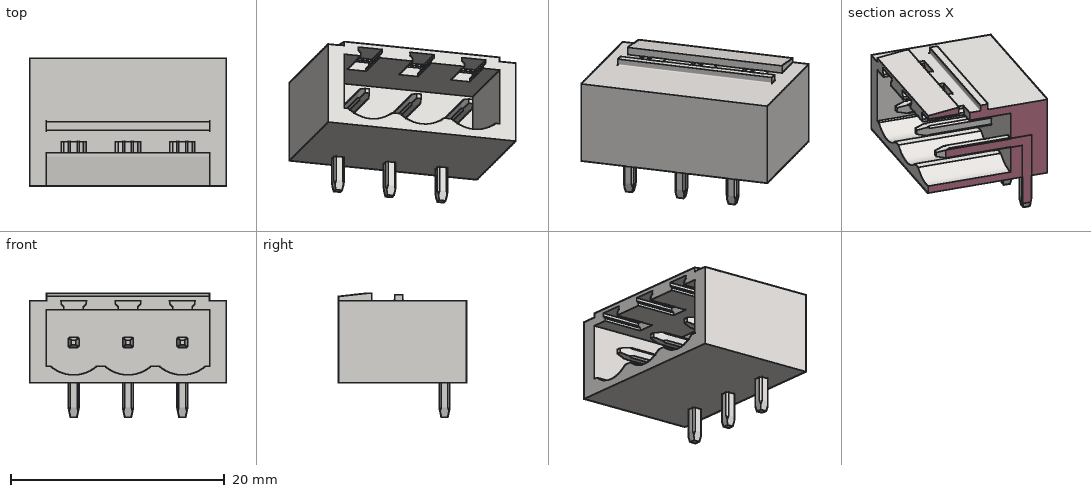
import cadquery as cq


housing_length = 18.44
housing_depth = 12.0
housing_height = 7.7

pin_count = 3
pin_pitch = 5.09
pin_positions = [(i - (pin_count - 1) / 2) * pin_pitch for i in range(pin_count)]

cavity_width = pin_count * pin_pitch
cavity_depth = 8.3
cavity_floor = 1.55
cavity_roof = housing_height - 0.85

scoop_width = 4.28
scoop_drop = 0.8

slot_top_width = 2.36
slot_neck_width = 1.83
slot_length = 4.17
slot_shoulder_drop = 0.3
slot_neck_drop = 0.59

ridge_length = 3.13
ridge_flat = 0.35
ridge_height = 0.72
ridge_front_height = 0.4

rib_front = 5.25
rib_width = 0.77
rib_height = 0.57
rib_root_radius = 0.1

pin_width = 1.01
pin_round_diameter = 1.2
pin_axis_height = 3.8
contact_tip_y = 0.92
contact_tip_width = 0.42
contact_taper = 1.3
leg_y = 9.94
leg_drop = 3.2
leg_tip_width = 0.63
leg_taper = 0.9


def front_profile():
    """XZ workplane whose extrusions run from the front face towards the back."""
    return cq.Workplane("XZ")


def make_cavity():
    cavity = (
        front_profile()
        .center(0, (cavity_floor + cavity_roof) / 2)
        .rect(cavity_width, cavity_roof - cavity_floor)
        .extrude(-cavity_depth)
    )
    for x in pin_positions:
        scoop = (
            front_profile()
            .moveTo(x - scoop_width / 2, cavity_floor)
            .threePointArc((x, cavity_floor - scoop_drop), (x + scoop_width / 2, cavity_floor))
            .close()
            .extrude(-cavity_depth)
        )
        cavity = cavity.union(scoop)
    return cavity


def make_slot(x):
    shoulder_z = housing_height - slot_shoulder_drop
    neck_z = housing_height - slot_neck_drop
    half_top = slot_top_width / 2
    half_neck = slot_neck_width / 2
    outline = [
        (x - half_top, housing_height),
        (x - half_top, shoulder_z),
        (x - half_neck, neck_z),
        (x - half_neck, cavity_roof),
        (x + half_neck, cavity_roof),
        (x + half_neck, neck_z),
        (x + half_top, shoulder_z),
        (x + half_top, housing_height),
    ]
    return front_profile().polyline(outline).close().extrude(-slot_length)


def make_ridge():
    outline = [
        (0, housing_height),
        (0, housing_height + ridge_front_height),
        (ridge_length - ridge_flat, housing_height + ridge_height),
        (ridge_length, housing_height + ridge_height),
        (ridge_length, housing_height),
    ]
    return cq.Workplane("YZ").polyline(outline).close().extrude(cavity_width / 2, both=True)


def make_rib():
    """Rib with a concave fillet along the root of its front and back faces."""
    front = rib_front
    back = rib_front + rib_width
    top = housing_height + rib_height
    fillet_top = housing_height + rib_root_radius
    return (
        cq.Workplane("YZ")
        .moveTo(front - rib_root_radius, housing_height)
        .radiusArc((front, fillet_top), -rib_root_radius)
        .lineTo(front, top)
        .lineTo(back, top)
        .lineTo(back, fillet_top)
        .radiusArc((back + rib_root_radius, housing_height), -rib_root_radius)
        .close()
        .extrude(cavity_width / 2, both=True)
    )


def rounded_bar(length):
    """Bar of pin section, a square trimmed by a circle, standing on the XY plane."""
    square_bar = cq.Workplane("XY").rect(pin_width, pin_width).extrude(length)
    return square_bar.intersect(cq.Workplane("XY").circle(pin_round_diameter / 2).extrude(length))


def make_point(tip_width, taper):
    """Tapered pin end with its tip at the origin, widening upwards to the pin section."""
    pyramid = (
        cq.Workplane("XY")
        .rect(tip_width, tip_width)
        .workplane(offset=taper)
        .rect(pin_width, pin_width)
        .loft()
    )
    return pyramid.intersect(rounded_bar(taper))


def make_pin(x):
    """Bent shank with a taper on each end: contact to the front, leg downwards."""
    shank_start = contact_tip_y + contact_taper
    shank_end = -leg_drop + leg_taper
    path = (
        cq.Workplane("YZ")
        .moveTo(shank_start, pin_axis_height)
        .lineTo(leg_y, pin_axis_height)
        .lineTo(leg_y, shank_end)
    )
    section = (
        rounded_bar(pin_width)
        .rotate((0, 0, 0), (1, 0, 0), -90)
        .translate((0, shank_start, pin_axis_height))
        .faces("<Y")
        .wires()
    )
    shank = section.toPending().sweep(path, transition="right", combine=False)
    contact_point = (
        make_point(contact_tip_width, contact_taper)
        .rotate((0, 0, 0), (1, 0, 0), -90)
        .translate((0, contact_tip_y, pin_axis_height))
    )
    leg_point = make_point(leg_tip_width, leg_taper).translate((0, leg_y, -leg_drop))
    return shank.union(contact_point).union(leg_point).translate((x, 0, 0))


def make_housing(pins):
    housing = cq.Workplane("XY").box(
        housing_length, housing_depth, housing_height, centered=(True, False, False)
    )
    housing = housing.cut(make_cavity())
    for x in pin_positions:
        housing = housing.cut(make_slot(x))
    housing = housing.union(make_ridge()).union(make_rib())
    for pin in pins:
        housing = housing.cut(pin)
    return housing


pins = [make_pin(x) for x in pin_positions]
housing = make_housing(pins)

result = cq.Compound.makeCompound([housing.solids().val(), *[pin.solids().val() for pin in pins]])